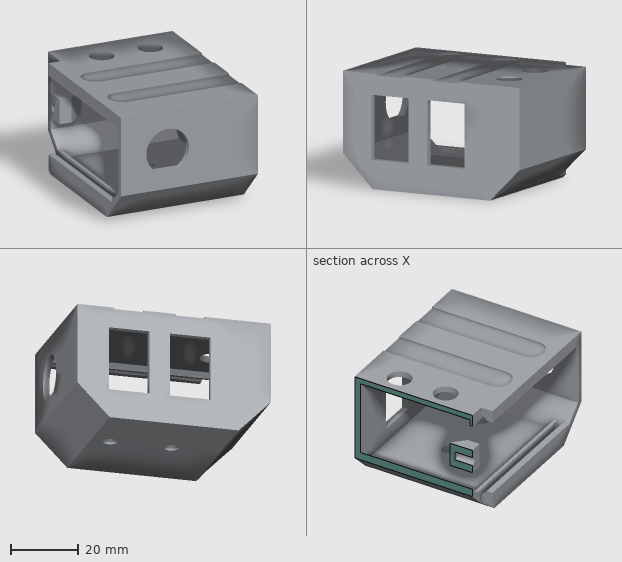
import cadquery as cq


length = 60.0
depth = 45.0
height = 35.0
bottom_chamfer = 10.0
side_wall = 2.0
sloped_wall = 2.0
roof = 2.0
floor = 4.0
rear_wall = 2.0

opening_roof = 4.0
opening_floor = 6.0
lip_straight = 2.0
lip_depth = 4.0
lid_entry = 8.95
ridge = 1.0

window_width = 12.65
window_bottom = 8.9
window_top = 28.55
column_centers = (25.0, 44.0)
recess_width = 9.0
recess_end = 8.0
recess_depth = 0.5

roof_hole_diameter = 7.7
roof_hole_x = 10.0
roof_hole_ys = (17.0, 33.0)
floor_hole_diameter = 4.4
floor_hole_y = 25.0
side_hole_diameter = 14.05
side_hole_y = 15.3
side_hole_z = 22.0
side_hole_flat_z = 16.2

block_right = 8.05
block_bottom = 14.5
block_top = 22.55
block_straight = 4.0
screw_diameter = 2.7
screw_x = 4.0
screw_depth = 6.0


def box(x0, x1, y0, y1, z0, z1):
    """Box between two opposite corners."""
    return cq.Workplane("XY").box(x1 - x0, y1 - y0, z1 - z0, centered=False).translate((x0, y0, z0))


def hull(x_margin, bottom_corner, y0, y1):
    """Full-height prism along Y whose 45-degree lower corners cut x + z at bottom_corner."""
    left = x_margin
    right = length - x_margin
    side_bottom = bottom_corner - x_margin
    return (
        cq.Workplane("XZ", origin=(0, y0, 0))
        .polyline([
            (left, height),
            (left, side_bottom),
            (bottom_corner, 0),
            (length - bottom_corner, 0),
            (right, side_bottom),
            (right, height),
        ])
        .close()
        .extrude(y0 - y1)
    )


def interior():
    """Hollow inside: narrow lip, widening lid groove, ridge and main chamber."""
    inner_corner = bottom_chamfer + sloped_wall * 2**0.5
    ridge_back = lip_depth + ridge
    inside_back = depth - rear_wall
    opening_top = height - opening_roof
    heights = (
        cq.Workplane("YZ")
        .polyline([
            (0, opening_floor),
            (lip_straight, opening_floor),
            (lip_depth, floor),
            (lip_depth, opening_floor),
            (ridge_back, opening_floor),
            (ridge_back, floor),
            (inside_back, floor),
            (inside_back, height - roof),
            (ridge_back, height - roof),
            (ridge_back, opening_top),
            (lip_depth, opening_top),
            (lip_depth, height - roof),
            (lip_straight, opening_top),
            (0, opening_top),
        ])
        .close()
        .extrude(length)
    )
    return hull(side_wall, inner_corner, 0, inside_back).intersect(heights)


def screw_block():
    """Block on the left wall whose back tapers at 45 degrees into the wall."""
    straight_back = lip_depth + block_straight
    taper_back = straight_back + block_right - side_wall
    wall_middle = side_wall / 2
    block = (
        cq.Workplane("XY", origin=(0, 0, block_bottom))
        .polyline([
            (wall_middle, lip_depth),
            (block_right, lip_depth),
            (block_right, straight_back),
            (side_wall, taper_back),
            (wall_middle, taper_back),
        ])
        .close()
        .extrude(block_top - block_bottom)
    )
    screw_z = (block_bottom + block_top) / 2
    screw_hole = (
        cq.Workplane("XZ", origin=(screw_x, lip_depth, screw_z))
        .circle(screw_diameter / 2)
        .extrude(-screw_depth)
    )
    return block, screw_hole


def label_recess(x):
    """Shallow round-ended channel in the roof, open at the rear."""
    radius = recess_width / 2
    bottom = height - recess_depth
    channel = box(x - radius, x + radius, recess_end, depth, bottom, height)
    end = cq.Workplane("XY", origin=(x, recess_end, bottom)).circle(radius).extrude(recess_depth)
    return channel.union(end)


result = hull(0, bottom_chamfer, 0, depth).cut(interior())
result = result.cut(box(0, lid_entry, 0, lip_depth, 0, height))

block, screw_hole = screw_block()
result = result.union(block).cut(screw_hole)

for x in column_centers:
    half_window = window_width / 2
    window = box(x - half_window, x + half_window, depth - rear_wall, depth, window_bottom, window_top)
    floor_hole = (
        cq.Workplane("XY", origin=(x, floor_hole_y, 0))
        .circle(floor_hole_diameter / 2)
        .extrude(floor)
    )
    result = result.cut(window).cut(label_recess(x)).cut(floor_hole)

for y in roof_hole_ys:
    roof_hole = (
        cq.Workplane("XY", origin=(roof_hole_x, y, height - roof))
        .circle(roof_hole_diameter / 2)
        .extrude(roof)
    )
    result = result.cut(roof_hole)

side_hole_circle = (
    cq.Workplane("YZ", origin=(length - side_wall, side_hole_y, side_hole_z))
    .circle(side_hole_diameter / 2)
    .extrude(side_wall)
)
above_flat = box(length - side_wall, length, 0, depth, side_hole_flat_z, height)
result = result.cut(side_hole_circle.intersect(above_flat))